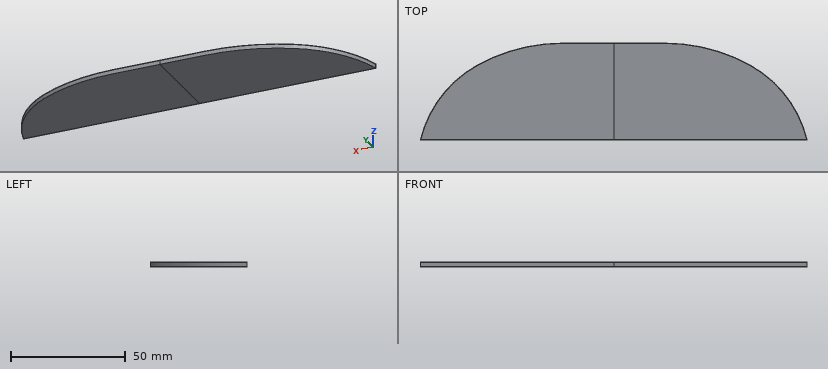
import cadquery as cq
import math

length = 168.2
depth = 42.0
thickness = 2.0
flat_half_length = 22.4
shoulder_radius = 76.0
shoulder_angle = 29.2

half_length = length / 2


def point_on_arc(center, radius, angle):
    """Point on a circle at an angle in radians, measured from +Y toward +X."""
    return (center[0] + radius * math.sin(angle), center[1] + radius * math.cos(angle))


def half_panel(side):
    """One half of the plate: side is +1 for the +X half and -1 for the -X half."""
    tip = (half_length, 0)
    sweep = math.radians(shoulder_angle)
    shoulder_center = (flat_half_length, depth - shoulder_radius)
    shoulder_mid = point_on_arc(shoulder_center, shoulder_radius, sweep / 2)
    shoulder_end = point_on_arc(shoulder_center, shoulder_radius, sweep)

    chord_x = shoulder_end[0] - tip[0]
    chord_y = shoulder_end[1] - tip[1]
    chord_along_normal = chord_x * math.sin(sweep) + chord_y * math.cos(sweep)
    end_radius = (chord_x**2 + chord_y**2) / (2 * chord_along_normal)
    end_center = point_on_arc(shoulder_center, shoulder_radius - end_radius, sweep)
    tip_angle = math.atan2(tip[0] - end_center[0], tip[1] - end_center[1])
    end_mid = point_on_arc(end_center, end_radius, (sweep + tip_angle) / 2)

    def on_side(point):
        return (side * point[0], point[1])

    return (
        cq.Workplane("XY")
        .moveTo(0, 0)
        .lineTo(0, depth)
        .lineTo(*on_side((flat_half_length, depth)))
        .threePointArc(on_side(shoulder_mid), on_side(shoulder_end))
        .threePointArc(on_side(end_mid), on_side(tip))
        .close()
        .extrude(thickness)
    )


panels = [half_panel(side) for side in (-1, 1)]

result = cq.Compound.makeCompound([panel.val() for panel in panels])